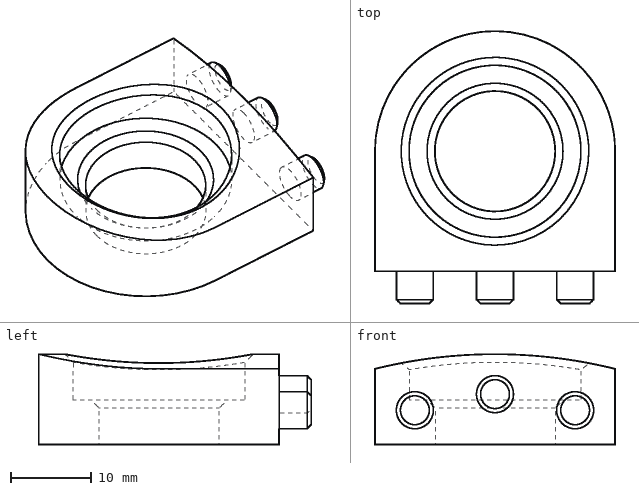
import cadquery as cq

width = 30.0
total_length = 34.0
crown_height = 11.3
side_height = 9.45
half_width = width / 2

hole_diameter = 15.0
counterbore_diameter = 21.45
floor_height = 5.58
edge_chamfer = 1.0

pin_diameter = 4.62
pin_length = total_length - width
pin_chamfer = 0.5
pin_spacing = 10.0
outer_pin_height = 4.3
middle_pin_height = 6.3


def make_body():
    crowned_block = (
        cq.Workplane("XZ", origin=(0, half_width, 0))
        .moveTo(-half_width, 0)
        .lineTo(half_width, 0)
        .lineTo(half_width, side_height)
        .threePointArc((0, crown_height), (-half_width, side_height))
        .close()
        .extrude(width)
    )
    plan = (
        cq.Workplane("XY")
        .moveTo(-half_width, -half_width)
        .lineTo(half_width, -half_width)
        .lineTo(half_width, 0)
        .threePointArc((0, half_width), (-half_width, 0))
        .close()
        .extrude(crown_height)
    )
    return crowned_block.intersect(plan)


def cut_bore(body):
    hole = cq.Workplane("XY").circle(hole_diameter / 2).extrude(floor_height)
    counterbore = (
        cq.Workplane("XY", origin=(0, 0, floor_height))
        .circle(counterbore_diameter / 2)
        .extrude(crown_height - floor_height)
    )
    body = body.cut(hole).cut(counterbore)

    rim_reach = counterbore_diameter / 2 + edge_chamfer
    rim_zone = cq.selectors.BoxSelector(
        (-rim_reach, -rim_reach, floor_height + edge_chamfer),
        (rim_reach, rim_reach, crown_height + edge_chamfer),
        boundingbox=True,
    )
    body = body.edges(rim_zone).chamfer(edge_chamfer)

    hole_edge_cone = cq.Solid.makeCone(
        hole_diameter / 2,
        hole_diameter / 2 + edge_chamfer,
        edge_chamfer,
        pnt=cq.Vector(0, 0, floor_height - edge_chamfer),
    )
    return body.cut(cq.Workplane(hole_edge_cone))


def make_pin(x, z):
    root_depth = edge_chamfer
    return (
        cq.Workplane("XZ", origin=(x, root_depth - half_width, z))
        .circle(pin_diameter / 2)
        .extrude(root_depth + pin_length)
        .faces("<Y")
        .chamfer(pin_chamfer)
    )


result = cut_bore(make_body())
for pin_x, pin_z in (
    (-pin_spacing, outer_pin_height),
    (0, middle_pin_height),
    (pin_spacing, outer_pin_height),
):
    result = result.union(make_pin(pin_x, pin_z))